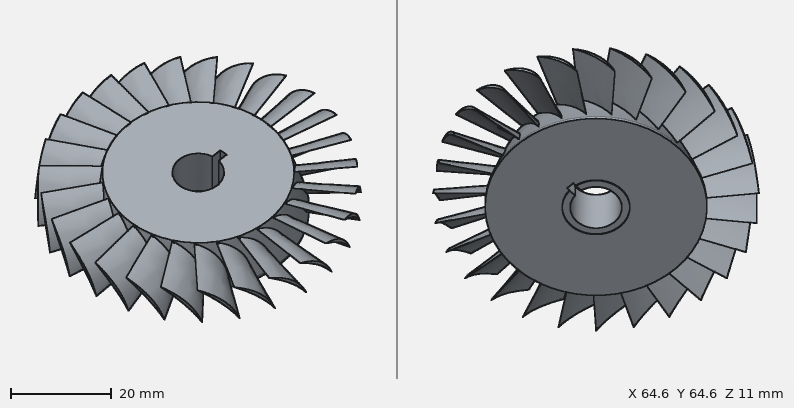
import cadquery as cq

boss_height = 0.2
flange_top = 1.0
blade_bottom = 2.25
blade_top = 10.8
hub_top = 11.0

flange_radius = 22.0
hub_top_radius = 19.0
boss_radius = 6.7
bore_radius = 5.12
keyway_width = 1.7
keyway_reach = 7.35

blade_count = 27
first_blade_angle = 4.2
tip_radius_bottom = 32.38
tip_radius_top = 31.6
envelope_inset = 0.5

root_section = {"distance": 18.0, "bottom": 0.8, "top": -5.57, "lower_face": -1.45, "upper_face": -0.2}
tip_section = {"distance": 33.0, "bottom": -0.03, "top": -8.7, "lower_face": -3.3, "upper_face": -2.42}


def hub_radius_at(z):
    taper = (flange_radius - hub_top_radius) / (hub_top - flange_top)
    return flange_radius - taper * (z - flange_top)


def make_hub():
    profile = [
        (0, 0),
        (boss_radius, 0),
        (boss_radius, boss_height),
        (flange_radius, boss_height),
        (flange_radius, flange_top),
        (hub_top_radius, hub_top),
        (0, hub_top),
    ]
    return cq.Workplane("XZ").polyline(profile).close().revolve(360, (0, 0, 0), (0, 1, 0))


def crescent_wire(section):
    y = -section["distance"]
    mid_height = (blade_bottom + blade_top) / 2
    bottom = cq.Vector(section["bottom"], y, blade_bottom)
    top = cq.Vector(section["top"], y, blade_top)
    lower_middle = cq.Vector(section["lower_face"], y, mid_height)
    upper_middle = cq.Vector(section["upper_face"], y, mid_height)
    lower_face = cq.Edge.makeThreePointArc(bottom, lower_middle, top)
    upper_face = cq.Edge.makeThreePointArc(top, upper_middle, bottom)
    return cq.Wire.assembleEdges([lower_face, upper_face])


def make_blade_envelope():
    profile = [
        (hub_radius_at(blade_bottom) - envelope_inset, blade_bottom),
        (tip_radius_bottom, blade_bottom),
        (tip_radius_top, blade_top),
        (hub_radius_at(blade_top) - envelope_inset, blade_top),
    ]
    return cq.Workplane("XZ").polyline(profile).close().revolve(360, (0, 0, 0), (0, 1, 0))


def make_blade():
    wires = [crescent_wire(root_section), crescent_wire(tip_section)]
    bar = cq.Workplane(obj=cq.Solid.makeLoft(wires, True))
    return bar.intersect(make_blade_envelope())


def make_bore_and_keyway():
    bore = cq.Workplane("XY").circle(bore_radius).extrude(hub_top)
    keyway = cq.Workplane("XY").rect(keyway_width, keyway_reach).extrude(hub_top)
    return bore.union(keyway.translate((0, keyway_reach / 2, 0)))


hub = make_hub().cut(make_bore_and_keyway())
blade = make_blade()
pitch_angle = 360 / blade_count
blades = [
    blade.rotate((0, 0, 0), (0, 0, 1), first_blade_angle + index * pitch_angle).val()
    for index in range(blade_count)
]
result = cq.Workplane(obj=hub.val().fuse(*blades))